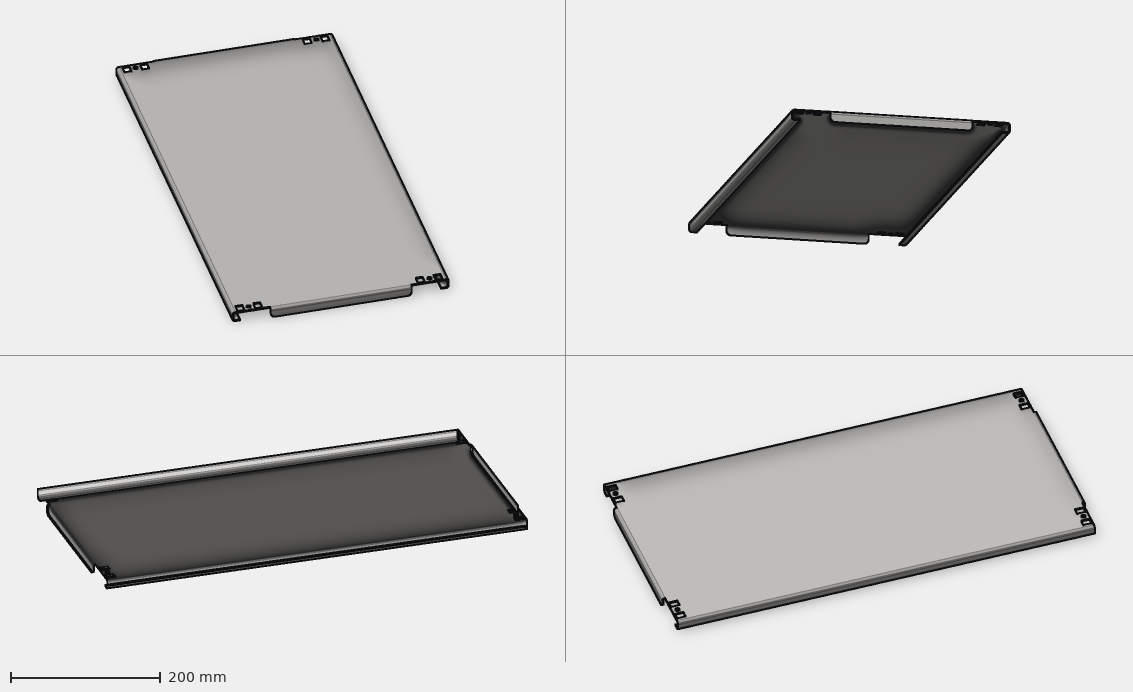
import cadquery as cq

LENGTH = 599.0
WIDTH = 300.0
HEIGHT = 15.0

THICKNESS = 2.2
BEND_RADIUS = 4.0
INNER_RADIUS = BEND_RADIUS - THICKNESS
PANEL_LENGTH = LENGTH - 2 * BEND_RADIUS

LIP_WIDTH = 11.0
END_FLANGE_WIDTH = 195.0
FLANGE_CORNER_RADIUS = 6.0

HOLE_INSET = 8.0
HOLE_DIAMETER = 6.0
HOLE_Y = 125.0
WINDOW_LENGTH = 12.0
WINDOW_WIDTH = 9.5
OUTER_WINDOW_Y = 137.0
INNER_WINDOW_Y = 112.5


def bent_sheet(plane, half_span, lip):
    """Closed section from the centre line to one folded edge, with an optional return lip."""
    inside = half_span - THICKNESS
    bend_start = half_span - BEND_RADIUS
    top_inside = HEIGHT - THICKNESS
    bend_bottom = HEIGHT - BEND_RADIUS

    section = (
        cq.Workplane(plane)
        .moveTo(0, HEIGHT)
        .lineTo(bend_start, HEIGHT)
        .radiusArc((half_span, bend_bottom), BEND_RADIUS)
    )
    if lip:
        lip_end = half_span - LIP_WIDTH
        section = (
            section.lineTo(half_span, BEND_RADIUS)
            .radiusArc((bend_start, 0), BEND_RADIUS)
            .lineTo(lip_end, 0)
            .lineTo(lip_end, THICKNESS)
            .lineTo(bend_start, THICKNESS)
            .radiusArc((inside, BEND_RADIUS), -INNER_RADIUS)
        )
    else:
        section = section.lineTo(half_span, 0).lineTo(inside, 0)
    return (
        section.lineTo(inside, bend_bottom)
        .radiusArc((bend_start, top_inside), -INNER_RADIUS)
        .lineTo(0, top_inside)
        .close()
    )


def long_channel():
    """Panel with both long edges folded down and under."""
    half = bent_sheet("YZ", WIDTH / 2, lip=True).extrude(PANEL_LENGTH / 2, both=True)
    return half.union(half.mirror("XZ"))


def end_flanges():
    """Central strip whose two ends are folded straight down."""
    half = bent_sheet("XZ", LENGTH / 2, lip=False).extrude(END_FLANGE_WIDTH / 2, both=True)
    half = half.edges("|X").edges("<Z").fillet(FLANGE_CORNER_RADIUS)
    return half.union(half.mirror("YZ"))


def corner_cutters():
    """Through cutters for a round hole and two windows at each corner of the panel."""
    hole_x = PANEL_LENGTH / 2 - HOLE_INSET

    def cutter_plane(centres):
        return cq.Workplane("XY", origin=(0, 0, HEIGHT - THICKNESS)).pushPoints(centres)

    def at_four_corners(y):
        return [(sx * hole_x, sy * y) for sx in (-1, 1) for sy in (-1, 1)]

    cutters = cutter_plane(at_four_corners(HOLE_Y)).circle(HOLE_DIAMETER / 2).extrude(THICKNESS)
    for y in (OUTER_WINDOW_Y, INNER_WINDOW_Y):
        windows = cutter_plane(at_four_corners(y)).rect(WINDOW_LENGTH, WINDOW_WIDTH).extrude(THICKNESS)
        cutters = cutters.union(windows)
    return cutters


result = long_channel().union(end_flanges()).cut(corner_cutters())